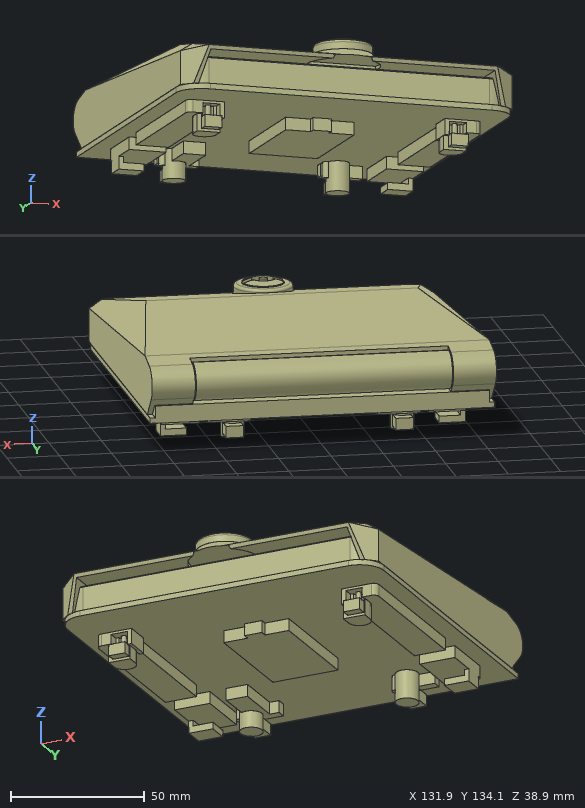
import cadquery as cq
import math


overall_width = 131.9
lid_side_step = 0.07
half_width = overall_width / 2
lid_half_width = half_width - lid_side_step

plate_thickness = 2.1
plate_back = -4.0
plate_front = -130.2
plate_corner_radius = 10.0
housing_inset = 2.0
housing_front = plate_front + housing_inset
housing_half_width = half_width - housing_inset
housing_corner_radius = 8.3
housing_top = 13.0
housing_top_chamfer = 0.5
rear_step_top = 6.7

hinge_radius = 7.2
hinge_z = 14.8
rear_slope_angle = 13.0
rear_slope_end = -14.0
rear_slope_end_z = 23.7
ridge_y = -83.7
ridge_z = 27.4
ridge_half_length = 52.0
front_top_y = -132.9
front_top_z = 16.5
front_bottom_y = -128.5
corner_y = -124.8
corner_z = 15.2
front_half_width = 57.1

opening_top = 14.9
opening_top_half_width = 56.3
opening_bottom_half_width = 60.0
opening_back = -118.0

barrel_half_length = 49.0
hinge_gap = 0.4
hinge_notch_front = -10.6

knob_y = -120.7
knob_radius = 11.3
flare_radius = 13.4
flare_bottom = 16.4
lock_notch_radius = 14.1
knob_bottom = 19.0
knob_top = 23.0
knob_fillet = 1.2
dome_radius = 7.9
dome_foot = 23.3
dome_apex = 25.1
recess_radius = 4.4
recess_floor = 20.8
slot_width = 3.4
pin_radius = 1.6
pin_top = 24.5

pad_depth = 4.8
boss_depth = 6.2
post_depth = 11.5
post_size = 9.0
rear_post_y = -26.2
front_post_y = -105.0
inner_post_places = (-34.7, 30.2)
outer_post_places = (-49.5, 48.3)
boss_overhang = 6.0
boss_radius = 1.6
tab_width = 6.7
tab_offset = 0.7
tab_top = -5.9
tab_bottom = -10.5
rear_tab_end = -17.6
front_tab_end = -113.2
shaft_radius = 1.1
groove_radius = 2.1
slot_top = -1.0
slot_depth = 4.0

rail_outer = 58.4
rail_inner = 43.7
rail_rib_outer = 45.5
front_rail = (-111.1, -51.4)
front_rail_radius = 2.1
rear_rail = (-43.3, -20.4)
rear_rail_radius = 1.5
rib_back = -100.5
hook_span = (-31.3, -22.7)
hook_wall = 1.9
hook_depth = 9.8
hook_foot_height = 2.7
hook_foot_inner = 48.3
side_pad = (24.1, 40.8)
side_pad_span = (-24.1, -20.4)
left_pad = (-36.9, -28.0)
left_pad_span = (-43.3, -24.1)
middle_pad_half_width = 13.5
middle_pad_span = (-93.9, -51.4)
middle_tongue_half_width = 3.6
middle_tongue_front = -96.6


def box(x, y, z):
    """Box between pairs of limits along X, Y and Z."""
    size = [abs(limits[1] - limits[0]) for limits in (x, y, z)]
    corner = [min(limits) for limits in (x, y, z)]
    return cq.Workplane("XY").box(*size, centered=False).translate(tuple(corner))


def cylinder(radius, x, y, z):
    """Upright cylinder between two heights."""
    return cq.Workplane("XY", origin=(x, y, min(z))).circle(radius).extrude(abs(z[1] - z[0]))


def mirrored(shape):
    """The shape together with its copy on the other side of X = 0."""
    return shape.union(shape.mirror("YZ"))


def cut_above(body, low, high, across):
    """Remove all material above the sloping plane through three points."""
    normal = (cq.Vector(*high) - cq.Vector(*low)).cross(cq.Vector(*across) - cq.Vector(*low))
    if normal.z < 0:
        normal = normal * -1
    facet = cq.Plane(origin=low, normal=normal.toTuple())
    reach = 4 * half_width
    return body.cut(cq.Workplane(facet).rect(reach, reach).extrude(reach))


def base():
    """Base plate with the rounded housing and the lower step behind it."""
    plate = box((-half_width, half_width), (plate_front, plate_back), (0, plate_thickness))
    plate = plate.edges("|Z and <Y").fillet(plate_corner_radius)
    sides = (-housing_half_width, housing_half_width)
    housing = box(sides, (housing_front, hinge_notch_front), (0, housing_top))
    housing = housing.edges("|Z and <Y").fillet(housing_corner_radius)
    housing = housing.faces(">Z").edges("<Y").chamfer(housing_top_chamfer)
    rear_step = box(sides, (hinge_notch_front, plate_back), (0, rear_step_top))
    return plate.union(housing).union(rear_step)


def lid_blank():
    """Side outline swept over the full width."""
    slope = math.radians(rear_slope_angle)
    hinge_y = -hinge_radius
    half_root = math.sqrt(0.5)
    arc_top = (hinge_y + hinge_radius * math.sin(slope), hinge_z + hinge_radius * math.cos(slope))
    arc_bottom = (hinge_y + hinge_radius * half_root, hinge_z - hinge_radius * half_root)
    underside_y = arc_bottom[0] - (arc_bottom[1] - plate_thickness)
    outline = (
        cq.Workplane("YZ", origin=(-lid_half_width, 0, 0))
        .moveTo(underside_y, plate_thickness)
        .lineTo(*arc_bottom)
        .threePointArc((0, hinge_z), arc_top)
        .lineTo(rear_slope_end, rear_slope_end_z)
        .lineTo(ridge_y, ridge_z)
        .lineTo(front_top_y, front_top_z)
        .lineTo(front_bottom_y, plate_thickness)
        .close()
    )
    return outline.extrude(2 * lid_half_width)


def facet_lid(lid):
    """Slope the side tops and cut the two front corners."""
    front_slope = (ridge_z - front_top_z) / (ridge_y - front_top_y)
    facet_slope_y = (rear_slope_end_z - corner_z) / (rear_slope_end - corner_y)
    facet_z_at_ridge = corner_z + facet_slope_y * (ridge_y - corner_y)
    facet_slope_x = (ridge_z - facet_z_at_ridge) / (lid_half_width - ridge_half_length)
    crest_z = ridge_z - front_slope * (ridge_y - corner_y)
    crest_x = lid_half_width - (crest_z - corner_z) / facet_slope_x
    for side in (-1, 1):
        back = (side * lid_half_width, rear_slope_end, rear_slope_end_z)
        ridge = (side * ridge_half_length, ridge_y, ridge_z)
        corner = (side * lid_half_width, corner_y, corner_z)
        crest = (side * crest_x, corner_y, crest_z)
        front = (side * front_half_width, front_top_y, front_top_z)
        lid = cut_above(lid, back, ridge, corner)
        lid = cut_above(lid, corner, crest, front)
        corner_cut = (
            cq.Workplane("XY")
            .polyline([corner[:2], front[:2], (corner[0], front[1])])
            .close()
            .extrude(ridge_z)
        )
        lid = lid.cut(corner_cut)
    return lid


def open_front(lid):
    """Open the sloping front between its narrow side and top borders."""
    opening = (
        cq.Workplane("XZ", origin=(0, opening_back, 0))
        .polyline([
            (-opening_bottom_half_width, plate_thickness),
            (opening_bottom_half_width, plate_thickness),
            (opening_top_half_width, opening_top),
            (-opening_top_half_width, opening_top),
        ])
        .close()
        .extrude(opening_back - front_top_y)
    )
    lock_notch = cylinder(lock_notch_radius, 0, knob_y, (plate_thickness, flare_bottom))
    lock_notch = lock_notch.intersect(opening.translate((0, 0, flare_bottom - opening_top)))
    return lid.cut(opening).cut(lock_notch)


def add_hinge(lid):
    """Replace the middle of the lid's rear edge with a round hinge barrel."""
    notch_half_length = barrel_half_length + hinge_gap
    notch_sides = (-notch_half_length, notch_half_length)
    notch = box(notch_sides, (hinge_notch_front, 0), (plate_thickness, ridge_z))
    barrel = (
        cq.Workplane("YZ", origin=(-barrel_half_length, 0, 0))
        .center(-hinge_radius, hinge_z)
        .circle(hinge_radius)
        .extrude(2 * barrel_half_length)
    )
    return lid.cut(notch).union(barrel)


def knob():
    """Flared lock knob with a domed insert, a cross slot and a centre pin."""
    drop = dome_apex - dome_foot
    sphere_radius = (dome_radius ** 2 + drop ** 2) / (2 * drop)
    mid_radius = dome_radius / 2
    mid_z = dome_apex - sphere_radius + math.sqrt(sphere_radius ** 2 - mid_radius ** 2)
    fillet_low = knob_top - knob_fillet
    bend = knob_fillet * math.sqrt(0.5)
    fillet_mid = (knob_radius - knob_fillet + bend, fillet_low + bend)
    body = (
        cq.Workplane("XZ")
        .moveTo(0, flare_bottom)
        .lineTo(flare_radius, flare_bottom)
        .lineTo(knob_radius, knob_bottom)
        .lineTo(knob_radius, fillet_low)
        .threePointArc(fillet_mid, (knob_radius - knob_fillet, knob_top))
        .lineTo(dome_radius, knob_top)
        .lineTo(dome_radius, dome_foot)
        .threePointArc((mid_radius, mid_z), (0, dome_apex))
        .close()
        .revolve(360, (0, 0, 0), (0, 1, 0))
    )
    recess_height = (recess_floor, dome_apex)
    slot = box((-dome_radius, dome_radius), (-slot_width / 2, slot_width / 2), recess_height)
    recess = cylinder(recess_radius, 0, 0, recess_height).union(slot)
    recess = recess.cut(cylinder(pin_radius, 0, 0, (recess_floor, pin_top)))
    return body.cut(recess).translate((0, knob_y, 0))


def rails():
    """Side rails with hooks, mirrored to both sides."""
    pad = (-pad_depth, 0)
    front = box((rail_rib_outer, rail_outer), front_rail, pad)
    front = front.edges("|Z and >X and <Y").fillet(front_rail_radius)
    rib = box((rail_inner, rail_rib_outer), (front_rail[0], rib_back), (-boss_depth, 0))
    rear = box((rail_inner, rail_outer), rear_rail, pad)
    rear = rear.edges("|Z and >X and >Y").fillet(rear_rail_radius)
    hook = box((rail_outer - hook_wall, rail_outer), hook_span, (-hook_depth, 0))
    foot_height = (-hook_depth, hook_foot_height - hook_depth)
    hook_foot = box((hook_foot_inner, rail_outer), hook_span, foot_height)
    return mirrored(front.union(rib).union(rear).union(hook).union(hook_foot))


def pads():
    """Flat support pads between the rails."""
    pad = (-pad_depth, 0)
    middle = box((-middle_pad_half_width, middle_pad_half_width), middle_pad_span, pad)
    tongue_span = (middle_tongue_front, middle_pad_span[1])
    tongue = box((-middle_tongue_half_width, middle_tongue_half_width), tongue_span, pad)
    side = mirrored(box(side_pad, side_pad_span, pad))
    left = box(left_pad, left_pad_span, pad)
    return middle.union(tongue).union(side).union(left)


def tab_sides(x):
    """Limits along X of the tab on a post."""
    middle = x + tab_offset
    return middle - tab_width / 2, middle + tab_width / 2


def inner_post(x):
    """Round rear post with a shorter boss bulging from its -X side and a tab pointing to the hinge."""
    boss = cylinder(boss_radius, x - boss_overhang + boss_radius, rear_post_y, (-boss_depth, 0))
    post = cylinder(post_size / 2, x, rear_post_y, (-post_depth, 0))
    tab = box(tab_sides(x), (rear_post_y, rear_tab_end), (tab_bottom, tab_top))
    return boss.union(post).union(tab)


def outer_post(x):
    """Front post, round behind and square in front, with a tab pointing to the front."""
    half = post_size / 2
    post = cylinder(half, x, front_post_y, (-post_depth, 0))
    square = box((x - half, x + half), (front_post_y - half, front_post_y), (-post_depth, 0))
    tab = box(tab_sides(x), (front_tab_end, front_post_y), (tab_bottom, tab_top))
    return post.union(square).union(tab)


def tab_slot(x):
    """Pocket above the front tab, with a shaft standing in a round groove at its back."""
    height = (tab_top, slot_top)
    slot_back = front_rail[0] + slot_depth
    slot = box(tab_sides(x), (front_rail[0], slot_back), height)
    groove = cylinder(groove_radius, x + tab_offset, slot_back, height)
    shaft = cylinder(shaft_radius, x + tab_offset, slot_back, height)
    return slot.union(groove).cut(shaft)


result = add_hinge(open_front(facet_lid(lid_blank())))
result = result.union(base()).union(knob())
result = result.union(rails()).union(pads())
for place in inner_post_places:
    result = result.union(inner_post(place))
for place in outer_post_places:
    result = result.union(outer_post(place)).cut(tab_slot(place))